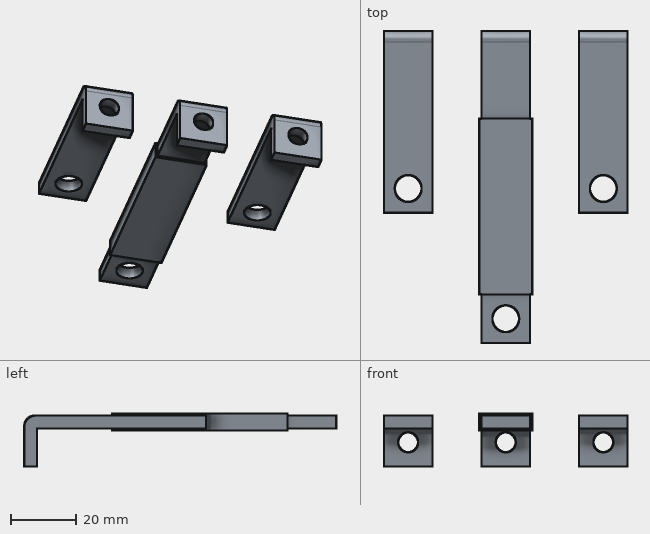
import cadquery as cq

bar_width = 15.0
bar_thickness = 4.0
leg_height = 15.7
bend_radius = 3.5
overall_width = 75.0
bar_pitch = (overall_width - bar_width) / 2
short_length = 56.0
long_length = 96.0

arm_hole_diameter = 8.2
arm_hole_inset = 7.5
leg_hole_diameter = 6.0
leg_hole_height = 7.5

jacket_wall = 0.7
jacket_length = 54.0
jacket_end_inset = 15.0


def bent_bar(center_x, length):
    """L-shaped bar with its leg's outer face at Y = 0 and its foot at Z = 0."""
    profile = (
        cq.Workplane("YZ")
        .moveTo(0, 0)
        .lineTo(0, leg_height - bend_radius)
        .radiusArc((-bend_radius, leg_height), -bend_radius)
        .lineTo(-length, leg_height)
        .lineTo(-length, leg_height - bar_thickness)
        .lineTo(-bar_thickness, leg_height - bar_thickness)
        .lineTo(-bar_thickness, 0)
        .close()
    )
    bar = profile.extrude(bar_width / 2, both=True)
    arm_hole = (
        cq.Workplane("XY")
        .center(0, arm_hole_inset - length)
        .circle(arm_hole_diameter / 2)
        .extrude(leg_height)
    )
    leg_hole = (
        cq.Workplane("XZ")
        .center(0, leg_hole_height)
        .circle(leg_hole_diameter / 2)
        .extrude(bar_thickness)
    )
    return bar.cut(arm_hole).cut(leg_hole).translate((center_x, 0, 0))


def jacketed_bar():
    """Long bent bar, thickened all round along the middle of its arm."""
    jacket = cq.Workplane("XY").box(
        bar_width + 2 * jacket_wall,
        jacket_length,
        bar_thickness + 2 * jacket_wall,
    )
    jacket_y = -long_length + jacket_end_inset + jacket_length / 2
    jacket_z = leg_height - bar_thickness / 2
    return bent_bar(0, long_length).union(jacket.translate((0, jacket_y, jacket_z)))


long_bar = jacketed_bar()
short_bars = [bent_bar(side * bar_pitch, short_length) for side in (-1, 1)]

result = cq.Compound.makeCompound([long_bar.val(), *(bar.val() for bar in short_bars)])